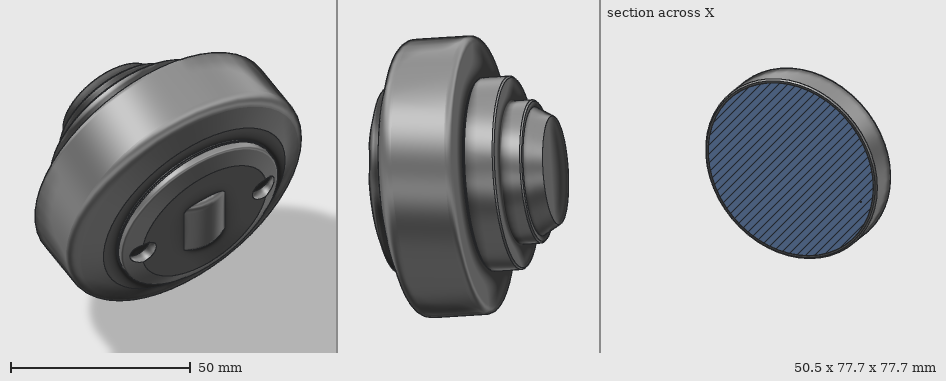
import cadquery as cq
import math


nose_radius = 15.15
nose_base_radius = 18.0
stud_radius = 40.0 / 2
stud_start = 4.9
stud_fillet = 0.5

flange_radius = 54.0 / 2
flange_start = 11.0
flange_end = 19.9
edge_chamfer = 0.5

hub_radius = 52.0 / 2
wheel_radius = 38.85
wheel_start = 20.3
wheel_end = 43.35
front_round = 2.0
rear_round = 4.0
cone_angle = math.radians(70)
shoulder_radius = 30.3

cap_start = 43.8
cap_end = 48.5
cap_chamfer_length = 0.6
cap_chamfer_depth = 0.3
cap_round = 1.1
cap_face_radius = 20.8

rib_tip = 50.5
rib_radius = 12.75
rib_length = 21.1
rib_end_round = 2.5
wrench_hole_diameter = 8.0
wrench_hole_offset = 20.05
wrench_hole_depth = 3.1


def rim_to_cone(profile, radius, round_radius, end_x, end_radius):
    """Draw a cylinder, a tangent round and a cone down to the point (end_x, end_radius)."""
    cone_top = radius - round_radius * (1 - math.cos(cone_angle))
    cone_x = end_x - (cone_top - end_radius) / math.tan(cone_angle)
    round_x = cone_x - round_radius * math.sin(cone_angle)
    mid_x = round_x + round_radius * math.sin(cone_angle / 2)
    mid_radius = radius - round_radius * (1 - math.cos(cone_angle / 2))
    return (
        profile.lineTo(round_x, radius)
        .threePointArc((mid_x, mid_radius), (cone_x, cone_top))
        .lineTo(end_x, end_radius)
    )


def turned_body():
    profile = (
        cq.Workplane("XY")
        .lineTo(0, nose_radius)
        .lineTo(stud_start, nose_base_radius)
        .lineTo(stud_start, stud_radius - edge_chamfer)
        .lineTo(stud_start + edge_chamfer, stud_radius)
        .lineTo(flange_start - stud_fillet, stud_radius)
        .radiusArc((flange_start, stud_radius + stud_fillet), -stud_fillet)
        .lineTo(flange_start, flange_radius - edge_chamfer)
        .lineTo(flange_start + edge_chamfer, flange_radius)
        .lineTo(flange_end - edge_chamfer, flange_radius)
        .lineTo(flange_end, flange_radius - edge_chamfer)
        .lineTo(flange_end, hub_radius)
        .lineTo(wheel_start, hub_radius)
        .lineTo(wheel_start, wheel_radius - front_round)
        .radiusArc((wheel_start + front_round, wheel_radius), front_round)
    )
    profile = rim_to_cone(profile, wheel_radius, rear_round, wheel_end, shoulder_radius)
    profile = (
        profile.lineTo(wheel_end, hub_radius)
        .lineTo(cap_start, hub_radius)
        .lineTo(cap_start, hub_radius - cap_chamfer_depth)
        .lineTo(cap_start + cap_chamfer_length, hub_radius)
    )
    profile = rim_to_cone(profile, hub_radius, cap_round, cap_end, cap_face_radius)
    return profile.lineTo(cap_end, 0).close().revolve(360, (0, 0, 0), (1, 0, 0))


def crowned_rib():
    """Cylinder along Z, mostly buried in the body, with only its crown above the cap."""
    return (
        cq.Workplane("XY")
        .cylinder(rib_length, rib_radius)
        .edges("%CIRCLE")
        .fillet(rib_end_round)
        .translate((rib_tip - rib_radius, 0, 0))
    )


def wrench_holes():
    return (
        cq.Workplane("YZ", origin=(cap_end, 0, 0))
        .pushPoints([(-wrench_hole_offset, 0), (wrench_hole_offset, 0)])
        .circle(wrench_hole_diameter / 2)
        .extrude(-wrench_hole_depth)
    )


result = turned_body().cut(wrench_holes()).union(crowned_rib())